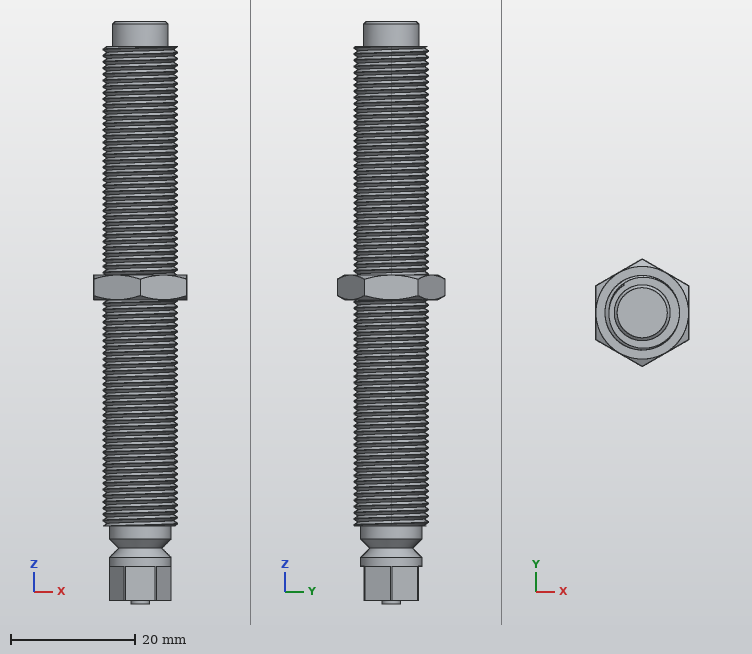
import cadquery as cq
import math

TOTAL_LENGTH = 94

STUD_LENGTH = 0.6
HEX_LENGTH = 5.5
COLLAR_LENGTH = 1.4
GROOVE_WIDTH = 3.0
NECK_LENGTH = 2.1
PLUNGER_LENGTH = 4.0
HEX_TOP = STUD_LENGTH + HEX_LENGTH
COLLAR_TOP = HEX_TOP + COLLAR_LENGTH
GROOVE_TOP = COLLAR_TOP + GROOVE_WIDTH
THREAD_BOTTOM = GROOVE_TOP + NECK_LENGTH
THREAD_TOP = TOTAL_LENGTH - PLUNGER_LENGTH

STUD_DIAMETER = 3.0
NECK_DIAMETER = 10.0
HEX_ACROSS_FLATS = 8.7
PLUNGER_DIAMETER = 9.0
PLUNGER_CHAMFER = 0.5

THREAD_DIAMETER = 12.0
THREAD_ROOT_DIAMETER = 10.7
THREAD_TURNS = 77.4
PITCH = (THREAD_TOP - THREAD_BOTTOM) / THREAD_TURNS
CREST_WIDTH = 0.1
EXTRA_TURNS = 2

NUT_ACROSS_FLATS = 15
NUT_THICKNESS = 4.0
NUT_BOTTOM = 49.1
NUT_FACE_DIAMETER = 14.9
NUT_CHAMFER_ANGLE = math.radians(30)


def cylinder(diameter, bottom, top):
    return cq.Workplane("XY").workplane(offset=bottom).circle(diameter / 2).extrude(top - bottom)


def hexagon(across_flats, bottom, top):
    """Hexagonal prism with two of its corners on the X axis."""
    corner_diameter = across_flats / math.cos(math.radians(30))
    return cq.Workplane("XY").workplane(offset=bottom).polygon(6, corner_diameter).extrude(top - bottom)


def thread_profile(bottom):
    """Radius and height of the corners of one thread ridge, from root to crest and back to root."""
    root_radius = THREAD_ROOT_DIAMETER / 2
    crest_radius = THREAD_DIAMETER / 2
    flank_height = (PITCH - CREST_WIDTH) / 2
    return [
        (root_radius, bottom),
        (crest_radius, bottom + flank_height),
        (crest_radius, bottom + PITCH - flank_height),
        (root_radius, bottom + PITCH),
    ]


def ridge_turn(bottom):
    """The lower flank, crest and upper flank of one turn of the thread."""
    helices = [
        cq.Wire.makeHelix(PITCH, PITCH, radius, cq.Vector(0, 0, height))
        for radius, height in thread_profile(bottom)
    ]
    return [cq.Face.makeRuledSurface(low, high) for low, high in zip(helices, helices[1:])]


def helical_end(bottom):
    """One-turn helicoid from the axis out to the thread root, with the radial step that closes it."""
    profile = thread_profile(bottom)
    root_radius = profile[0][0]
    axis = cq.Edge.makeLine(cq.Vector(0, 0, bottom), cq.Vector(0, 0, bottom + PITCH))
    root_helix = cq.Wire.makeHelix(PITCH, PITCH, root_radius, cq.Vector(0, 0, bottom))
    helicoid = cq.Face.makeRuledSurface(cq.Wire.assembleEdges([axis]), root_helix)

    corners = [(0, bottom), *profile, (0, bottom + PITCH)]
    outline = [cq.Vector(radius, 0, height) for radius, height in corners]
    step = cq.Face.makeFromWires(cq.Wire.makePolygon(outline, close=True))
    return [helicoid, step]


def threaded_section():
    """Threaded bar, built turn by turn past both ends and then cut square to length."""
    turns = math.ceil(THREAD_TURNS) + 2 * EXTRA_TURNS
    helix_top = THREAD_TOP + (EXTRA_TURNS + 0.5) * PITCH
    helix_bottom = helix_top - turns * PITCH
    faces = []
    for turn in range(turns):
        faces.extend(ridge_turn(helix_bottom + turn * PITCH))
    for end in (helix_bottom, helix_top):
        faces.extend(helical_end(end))
    bar = cq.Solid.makeSolid(cq.Shell.makeShell(faces))
    slab = cylinder(2 * THREAD_DIAMETER, THREAD_BOTTOM, THREAD_TOP)
    return cq.Workplane(bar).intersect(slab)


def grooved_neck():
    """Round neck with a symmetrical 45 degree V groove above its bottom collar."""
    radius = NECK_DIAMETER / 2
    groove_depth = GROOVE_WIDTH / 2
    return (
        cq.Workplane("XZ")
        .moveTo(0, HEX_TOP)
        .lineTo(radius, HEX_TOP)
        .lineTo(radius, COLLAR_TOP)
        .lineTo(radius - groove_depth, COLLAR_TOP + groove_depth)
        .lineTo(radius, GROOVE_TOP)
        .lineTo(radius, THREAD_BOTTOM)
        .lineTo(0, THREAD_BOTTOM)
        .close()
        .revolve(360, (0, 0, 0), (0, 1, 0))
    )


def make_rod():
    stud = cylinder(STUD_DIAMETER, 0, STUD_LENGTH)
    hex_end = hexagon(HEX_ACROSS_FLATS, STUD_LENGTH, HEX_TOP).intersect(
        cylinder(NECK_DIAMETER, STUD_LENGTH, HEX_TOP)
    )
    plunger = cylinder(PLUNGER_DIAMETER, THREAD_TOP, TOTAL_LENGTH).faces(">Z").chamfer(PLUNGER_CHAMFER)
    return threaded_section().union(plunger).union(grooved_neck()).union(hex_end).union(stud)


def make_nut():
    """Hexagonal nut whose corners are chamfered by a cone at both faces."""
    nut_top = NUT_BOTTOM + NUT_THICKNESS
    face_radius = NUT_FACE_DIAMETER / 2
    corner_radius = NUT_ACROSS_FLATS / 2 / math.cos(math.radians(30))
    chamfer_height = (corner_radius - face_radius) * math.tan(NUT_CHAMFER_ANGLE)
    chamfered_blank = (
        cq.Workplane("XZ")
        .moveTo(0, NUT_BOTTOM)
        .lineTo(face_radius, NUT_BOTTOM)
        .lineTo(corner_radius, NUT_BOTTOM + chamfer_height)
        .lineTo(corner_radius, nut_top - chamfer_height)
        .lineTo(face_radius, nut_top)
        .lineTo(0, nut_top)
        .close()
        .revolve(360, (0, 0, 0), (0, 1, 0))
    )
    bore = cylinder(THREAD_DIAMETER, NUT_BOTTOM, nut_top)
    prism = hexagon(NUT_ACROSS_FLATS, NUT_BOTTOM, nut_top).rotate((0, 0, 0), (0, 0, 1), 30)
    return prism.intersect(chamfered_blank).cut(bore)


rod = make_rod()
nut = make_nut()

result = cq.Compound.makeCompound([rod.val(), nut.val()])